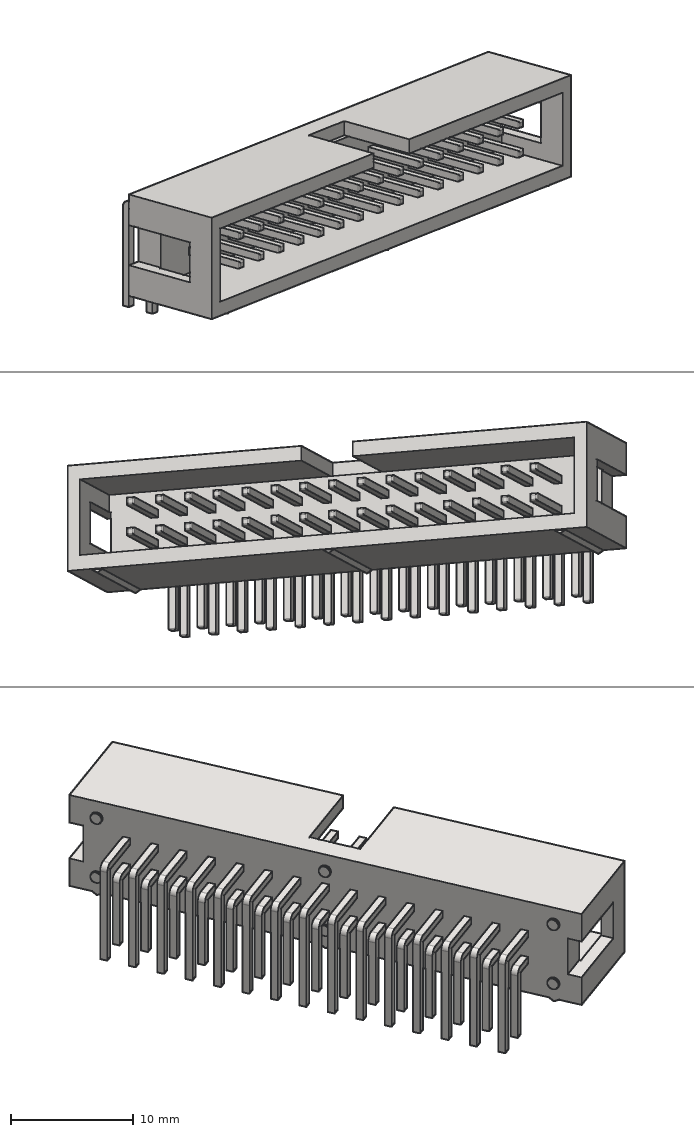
import cadquery as cq


housing_length = 45.75
housing_depth = 8.9
housing_height = 8.85
base_thickness = 2.4
side_wall = 1.25
end_wall = 1.1
mid_height = housing_height / 2

end_window_depth = 6.55
end_window_height = 3.5
end_notch_depth = 1.25
key_slot_width = 4.55
key_slot_start = 1.9

standoff_diameter = 1.0
standoff_height = 0.25
standoff_edge_gap = 1.55
rib_length = 8.5
rib_width = 0.9
rib_height = 0.27
spacer_pitch = 20.4

pin_columns = 15
pin_row_length = 35.55
pin_pitch = pin_row_length / (pin_columns - 1)
pin_width = 0.65
bend_radius = 0.6
pin_tip_radius = 0.15
pin_front = 7.82
pin_bottom = -3.25
outer_leg_center = -4.35


def block(x_range, y_range, z_range):
    """Axis-aligned box between the given limits."""
    size = [high - low for low, high in (x_range, y_range, z_range)]
    corner = (x_range[0], y_range[0], z_range[0])
    return cq.Workplane("XY").box(*size, centered=False).translate(corner)


def make_housing():
    """Shroud with a front cavity, a key slot in the top wall and a window in each end."""
    half_length = housing_length / 2
    half_cavity = half_length - end_wall
    half_notched = half_length - end_notch_depth
    cavity_top = housing_height - side_wall
    window_z = (mid_height - end_window_height / 2, mid_height + end_window_height / 2)

    body = block((0, housing_depth), (-half_length, half_length), (0, housing_height))
    body = body.cut(block(
        (base_thickness, housing_depth),
        (-half_cavity, half_cavity),
        (side_wall, cavity_top),
    ))
    body = body.cut(block(
        (key_slot_start, housing_depth),
        (-key_slot_width / 2, key_slot_width / 2),
        (cavity_top, housing_height),
    ))
    for window_y in ((-half_length, -half_notched), (half_notched, half_length)):
        body = body.cut(block((0, end_window_depth), window_y, window_z))
    return body


def make_standoff(y, z):
    """Short round pad on the back of the housing."""
    return (
        cq.Workplane("YZ")
        .center(y, z)
        .circle(standoff_diameter / 2)
        .extrude(-standoff_height)
    )


def make_rib(y):
    """V-shaped rib along X under the housing, sunk into it by its own height."""
    return (
        cq.Workplane("YZ")
        .polyline([
            (y - rib_width / 2, 0),
            (y, -rib_height),
            (y + rib_width / 2, 0),
            (y, rib_height),
        ])
        .close()
        .extrude(rib_length)
    )


def make_pin_row(leg_center, z):
    """Row of square pins bent down behind the housing, rounded outside the bend and at the tips."""
    half = pin_width / 2
    shank = block((leg_center - half, pin_front), (-half, half), (z - half, z + half))
    leg = block((leg_center - half, leg_center + half), (-half, half), (pin_bottom, z + half))
    pin = shank.union(leg)
    pin = pin.edges("|Y").edges("<X and >Z").fillet(bend_radius)
    pin = pin.faces(">X or <Z").edges().fillet(pin_tip_radius)
    return cq.Workplane("XY").rarray(pin_pitch, pin_pitch, 1, pin_columns).eachpoint(pin.val())


result = make_housing()

for place in (-spacer_pitch, 0, spacer_pitch):
    result = result.union(make_rib(place))
    for pad_z in (standoff_edge_gap, housing_height - standoff_edge_gap):
        result = result.union(make_standoff(place, pad_z))

result = result.union(make_pin_row(outer_leg_center, mid_height + pin_pitch / 2))
result = result.union(make_pin_row(outer_leg_center + pin_pitch, mid_height - pin_pitch / 2))